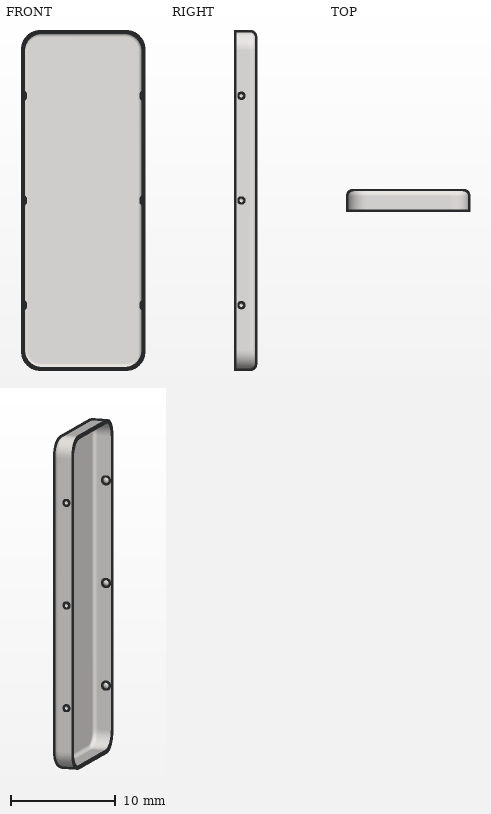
import cadquery as cq
import math

length = 32.4
width = 11.7
depth = 2.0

wall = 0.2
corner_radius = 1.8
outer_edge_radius = 0.58
inner_edge_radius = outer_edge_radius - wall

dimple_pitch = 10.0
dimple_from_rim = 0.58
dimple_radius = 0.3
dimple_depth = 0.2
bump_radius = 0.4
bump_height = dimple_depth

open_face = -depth / 2
dimple_y = open_face + dimple_from_rim
dimple_heights = (-dimple_pitch, 0, dimple_pitch)


def rounded_block(inset, back_radius):
    """Block inset from the outside on every side but the open face."""
    block = (
        cq.Workplane("XZ", origin=(0, open_face, 0))
        .rect(width - 2 * inset, length - 2 * inset)
        .extrude(-(depth - inset))
        .edges("|Y")
        .fillet(corner_radius - inset)
    )
    return block.faces(">Y").edges().fillet(back_radius)


def dome(side, base_x, radius, height, z):
    """Ball cap with its flat base on the plane x = side * base_x and its tip towards x = 0."""
    ball_radius = (radius**2 + height**2) / (2 * height)
    half_angle = math.asin(radius / ball_radius) / 2
    ball_center = ball_radius - height
    arc_middle = (
        ball_radius * math.cos(half_angle) - ball_center,
        ball_radius * math.sin(half_angle),
    )
    cap = (
        cq.Workplane("XY")
        .moveTo(0, 0)
        .lineTo(0, radius)
        .threePointArc(arc_middle, (height, 0))
        .close()
        .revolve(360, (0, 0), (1, 0))
    )
    if side > 0:
        cap = cap.rotate((0, 0, 0), (0, 0, 1), 180)
    return cap.translate((side * base_x, dimple_y, z))


result = rounded_block(0, outer_edge_radius).cut(rounded_block(wall, inner_edge_radius))

for side in (-1, 1):
    for z in dimple_heights:
        bump = dome(side, width / 2 - wall, bump_radius, bump_height, z)
        dimple = dome(side, width / 2, dimple_radius, dimple_depth, z)
        result = result.union(bump).cut(dimple)